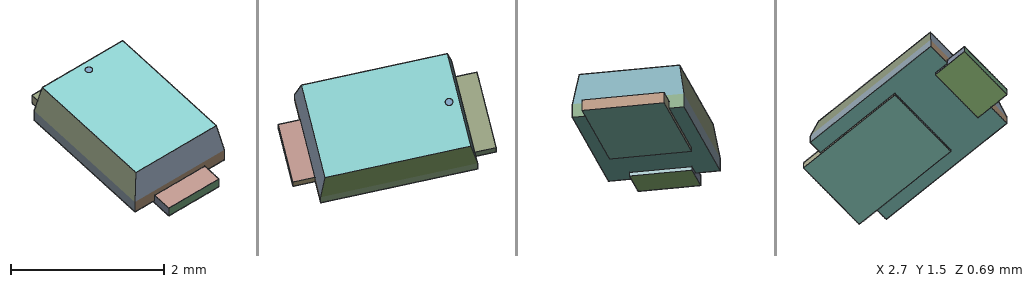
import cadquery as cq
import math

body_length = 2.11
body_width = 1.5
body_bottom = 0.05
draft_start = 0.235
body_top = 0.69
draft_angle = 9.5

overall_length = 2.7
lead_thickness = 0.15
wide_lead_length = 1.6
wide_lead_width = 1.1
narrow_lead_length = 0.51
narrow_lead_width = 0.84

mark_diameter = 0.1
mark_depth = 0.02
draft_inset = (body_top - draft_start) * math.tan(math.radians(draft_angle))
mark_edge_distance = 0.134
mark_x = -body_length / 2 + draft_inset + mark_edge_distance


def make_lead(end_direction, length, width):
    """Flat lead reaching inward from the package end at -X (-1) or +X (+1)."""
    center_x = end_direction * (overall_length - length) / 2
    return (
        cq.Workplane("XY")
        .center(center_x, 0)
        .rect(length, width)
        .extrude(lead_thickness)
    )


def make_mark():
    """Thin disc sunk into the top face near the wide lead."""
    return (
        cq.Workplane("XY", origin=(mark_x, 0, body_top - mark_depth))
        .circle(mark_diameter / 2)
        .extrude(mark_depth)
    )


def make_body(inserts):
    """Straight base and drafted upper part, with a matching recess for each insert."""
    body = (
        cq.Workplane("XY", origin=(0, 0, body_bottom))
        .rect(body_length, body_width)
        .extrude(draft_start - body_bottom)
        .faces(">Z")
        .workplane()
        .rect(body_length, body_width)
        .extrude(body_top - draft_start, taper=draft_angle)
    )
    for insert in inserts:
        body = body.cut(insert)
    return body


wide_lead = make_lead(-1, wide_lead_length, wide_lead_width)
narrow_lead = make_lead(1, narrow_lead_length, narrow_lead_width)
mark = make_mark()
body = make_body([wide_lead, narrow_lead, mark])

result = cq.Compound.makeCompound([body.val(), wide_lead.val(), narrow_lead.val(), mark.val()])